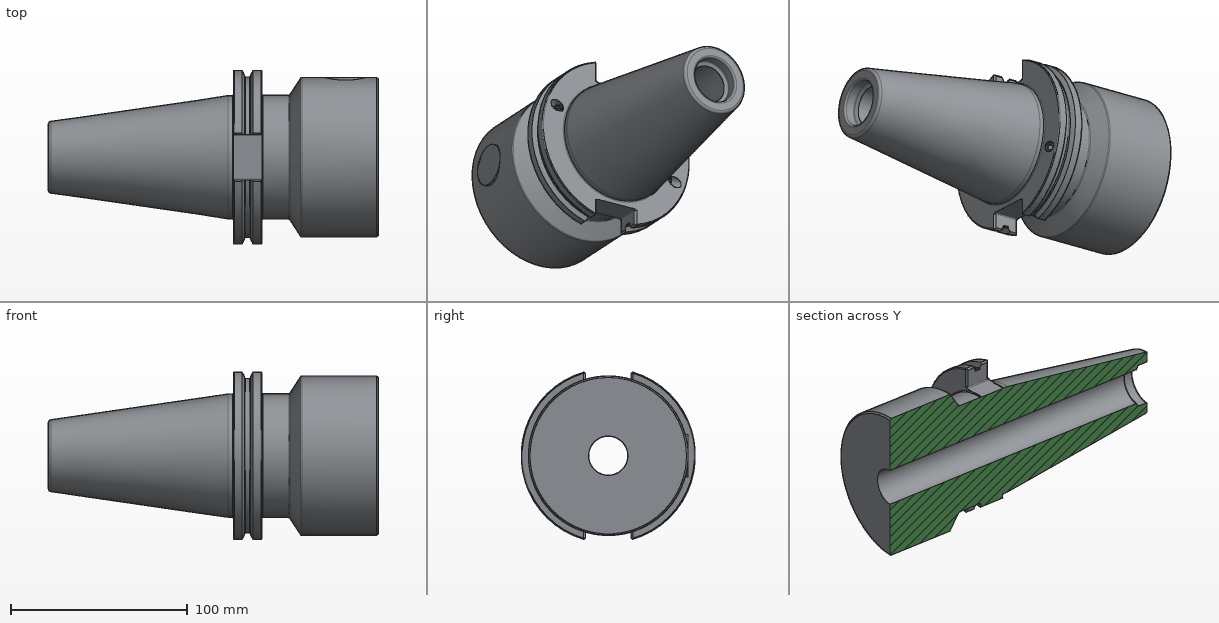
import cadquery as cq
import math

OVERALL_LENGTH = 186.6

SMALL_END_RADIUS = 20.2
GAUGE_RADIUS = 34.9
GAUGE_X = 101.5
SMALL_END_FILLET = 1.7

FLANGE_RADIUS = 49.3
FLANGE_START_X = 104.7
FLANGE_END_X = 120.7
FLANGE_RIM_FILLET = 0.5
FLANGE_ROOT_FILLET = 0.5
GROOVE_CENTRE_X = (FLANGE_START_X + FLANGE_END_X) / 2
GROOVE_MOUTH_WIDTH = 6.3
GROOVE_FLOOR_WIDTH = 3.4
GROOVE_FLOOR_RADIUS = 45.5
GROOVE_WALL_END_RADIUS = 46.5
GROOVE_FLOOR_FILLET = 0.5

SLOT_WIDTH = 25.5
SLOT_EDGE_CHAMFER = 1.1
SLOT_RIM_CHAMFER = 1.0
SLOT_FLOOR_FILLET = 0.5
UPPER_SLOT_FLOOR_Z = 34.9
LOWER_SLOT_FLOOR_Z = 37.5

NECK_RADIUS = 35.0
NECK_END_X = 136.4
HEAD_RADIUS = 45.2
HEAD_START_X = 143.0
HEAD_END_CHAMFER = 1.0
HEAD_CONE_FILLET = 0.7

BORE_RADIUS = 11.0
ENTRY_RADIUS = 13.2
ENTRY_DEPTH = 6.5
ENTRY_ROUND = 1.1
ENTRY_CONE_LENGTH = 1.3
ENTRY_CONE_FILLET = 0.5

COOLANT_HOLE_RADIUS = 3.0
COOLANT_HOLE_PITCH_RADIUS = 42.0
COOLANT_HOLE_ANGLES = [20.0, 200.0]
COOLANT_HOLE_TILT = 45.0
SET_SCREW_RECESS = 3.0
SET_SCREW_LENGTH = 5.6
SET_SCREW_CHAMFER = 0.5
SET_SCREW_HEX = 3.0
SET_SCREW_HEX_DEPTH = 2.2

SIDE_SCREW_RADIUS = 12.0
SIDE_SCREW_LENGTH = 22.4
SIDE_SCREW_X = 168.0

EDGE_SEARCH_MARGIN = 0.1
CUT_OVERRUN = 1.9


def revolve_about_x(workplane):
    return workplane.close().revolve(360, (0, 0, 0), (1, 0, 0))


def fillet_circle(body, x, radius, fillet_radius):
    """Round the circular edge of that radius lying at x."""
    reach = radius + fillet_radius / 2
    corners = (x - EDGE_SEARCH_MARGIN, -reach, -reach), (x + EDGE_SEARCH_MARGIN, reach, reach)
    edges = body.edges(cq.selectors.BoxSelector(*corners, boundingbox=True))
    return edges.edges(cq.selectors.RadiusNthSelector(-1)).fillet(fillet_radius)


def body_of_revolution():
    groove_mouth_left = GROOVE_CENTRE_X - GROOVE_MOUTH_WIDTH / 2
    groove_mouth_right = GROOVE_CENTRE_X + GROOVE_MOUTH_WIDTH / 2
    groove_floor_left = GROOVE_CENTRE_X - GROOVE_FLOOR_WIDTH / 2
    groove_floor_right = GROOVE_CENTRE_X + GROOVE_FLOOR_WIDTH / 2
    outline = (
        cq.Workplane("XZ")
        .moveTo(0, 0)
        .lineTo(0, SMALL_END_RADIUS)
        .lineTo(GAUGE_X, GAUGE_RADIUS)
        .lineTo(FLANGE_START_X, GAUGE_RADIUS)
        .lineTo(FLANGE_START_X, FLANGE_RADIUS)
        .lineTo(groove_mouth_left, FLANGE_RADIUS)
        .lineTo(groove_floor_left, GROOVE_WALL_END_RADIUS)
        .lineTo(groove_floor_left, GROOVE_FLOOR_RADIUS)
        .lineTo(groove_floor_right, GROOVE_FLOOR_RADIUS)
        .lineTo(groove_floor_right, GROOVE_WALL_END_RADIUS)
        .lineTo(groove_mouth_right, FLANGE_RADIUS)
        .lineTo(FLANGE_END_X, FLANGE_RADIUS)
        .lineTo(FLANGE_END_X, NECK_RADIUS)
        .lineTo(NECK_END_X, NECK_RADIUS)
        .lineTo(HEAD_START_X, HEAD_RADIUS)
        .lineTo(OVERALL_LENGTH - HEAD_END_CHAMFER, HEAD_RADIUS)
        .lineTo(OVERALL_LENGTH, HEAD_RADIUS - HEAD_END_CHAMFER)
        .lineTo(OVERALL_LENGTH, 0)
    )
    body = revolve_about_x(outline)
    rounded_edges = [
        (0, SMALL_END_RADIUS, SMALL_END_FILLET),
        (FLANGE_START_X, GAUGE_RADIUS, FLANGE_ROOT_FILLET),
        (FLANGE_START_X, FLANGE_RADIUS, FLANGE_RIM_FILLET),
        (groove_floor_left, GROOVE_FLOOR_RADIUS, GROOVE_FLOOR_FILLET),
        (groove_floor_right, GROOVE_FLOOR_RADIUS, GROOVE_FLOOR_FILLET),
        (FLANGE_END_X, FLANGE_RADIUS, FLANGE_RIM_FILLET),
        (FLANGE_END_X, NECK_RADIUS, FLANGE_ROOT_FILLET),
        (NECK_END_X, NECK_RADIUS, HEAD_CONE_FILLET),
        (HEAD_START_X, HEAD_RADIUS, HEAD_CONE_FILLET),
    ]
    for x, radius, fillet_radius in rounded_edges:
        body = fillet_circle(body, x, radius, fillet_radius)
    return body


def bore_cutter():
    outline = (
        cq.Workplane("XZ")
        .moveTo(0, 0)
        .lineTo(0, ENTRY_RADIUS + ENTRY_ROUND)
        .radiusArc((ENTRY_ROUND, ENTRY_RADIUS), -ENTRY_ROUND)
        .lineTo(ENTRY_DEPTH, ENTRY_RADIUS)
        .lineTo(ENTRY_DEPTH + ENTRY_CONE_LENGTH, BORE_RADIUS)
        .lineTo(OVERALL_LENGTH, BORE_RADIUS)
        .lineTo(OVERALL_LENGTH, 0)
    )
    return fillet_circle(revolve_about_x(outline), ENTRY_DEPTH, ENTRY_RADIUS, ENTRY_CONE_FILLET)


def slot_cutter(floor_z):
    """Slot opening towards +Z, with rounded floor corners and broken flange edges."""
    half_width = SLOT_WIDTH / 2
    flange_width = FLANGE_END_X - FLANGE_START_X
    top_z = FLANGE_RADIUS + CUT_OVERRUN
    channel = (
        cq.Workplane("YZ", origin=(FLANGE_START_X, 0, 0))
        .moveTo(-half_width, floor_z)
        .lineTo(half_width, floor_z)
        .lineTo(half_width, top_z)
        .lineTo(-half_width, top_z)
        .close()
        .extrude(flange_width)
        .edges("|X and <Z")
        .fillet(SLOT_FLOOR_FILLET)
    )

    wide = half_width + SLOT_EDGE_CHAMFER
    face_chamfers = (
        cq.Workplane("XY", origin=(0, 0, floor_z + SLOT_FLOOR_FILLET))
        .moveTo(FLANGE_START_X, -wide)
        .lineTo(FLANGE_START_X + SLOT_EDGE_CHAMFER, -half_width)
        .lineTo(FLANGE_END_X - SLOT_EDGE_CHAMFER, -half_width)
        .lineTo(FLANGE_END_X, -wide)
        .lineTo(FLANGE_END_X, wide)
        .lineTo(FLANGE_END_X - SLOT_EDGE_CHAMFER, half_width)
        .lineTo(FLANGE_START_X + SLOT_EDGE_CHAMFER, half_width)
        .lineTo(FLANGE_START_X, wide)
        .close()
        .extrude(top_z - floor_z - SLOT_FLOOR_FILLET)
    )

    rim_y = half_width + SLOT_RIM_CHAMFER
    rim_z = math.sqrt(FLANGE_RADIUS**2 - rim_y**2)
    flare = top_z - rim_z
    rim_chamfers = (
        cq.Workplane("YZ", origin=(FLANGE_START_X, 0, 0))
        .moveTo(-half_width, rim_z - SLOT_RIM_CHAMFER)
        .lineTo(half_width, rim_z - SLOT_RIM_CHAMFER)
        .lineTo(rim_y + flare, top_z)
        .lineTo(-rim_y - flare, top_z)
        .close()
        .extrude(flange_width)
    )
    return channel.union(face_chamfers).union(rim_chamfers)


def coolant_hole_plane(angle, depth):
    """Plane across a coolant hole at a depth along its axis, facing into the flange."""
    turn = math.radians(angle)
    tilt = math.radians(COOLANT_HOLE_TILT)
    radial = cq.Vector(0, math.cos(turn), math.sin(turn))
    mouth = cq.Vector(FLANGE_START_X, 0, 0) + radial * COOLANT_HOLE_PITCH_RADIUS
    axis = cq.Vector(math.cos(tilt), 0, 0) - radial * math.sin(tilt)
    tangent = cq.Vector(0, -math.sin(turn), math.cos(turn))
    return cq.Plane(origin=mouth + axis * depth, xDir=tangent, normal=axis)


def coolant_hole_cutter(angle):
    run_out = COOLANT_HOLE_RADIUS * math.tan(math.radians(COOLANT_HOLE_TILT)) + CUT_OVERRUN
    length = run_out + SET_SCREW_RECESS + SET_SCREW_LENGTH
    return cq.Workplane(coolant_hole_plane(angle, -run_out)).circle(COOLANT_HOLE_RADIUS).extrude(length)


def make_set_screw(angle):
    top = coolant_hole_plane(angle, SET_SCREW_RECESS)
    screw = cq.Workplane(top).circle(COOLANT_HOLE_RADIUS).extrude(SET_SCREW_LENGTH)
    outer_end = cq.selectors.DirectionMinMaxSelector(top.zDir, directionMax=False)
    screw = screw.faces(outer_end).chamfer(SET_SCREW_CHAMFER)
    hex_diameter = SET_SCREW_HEX / math.cos(math.pi / 6)
    socket = cq.Workplane(top).polygon(6, hex_diameter).extrude(SET_SCREW_HEX_DEPTH)
    return screw.cut(socket)


def make_side_screw():
    top = cq.Workplane("XZ", origin=(SIDE_SCREW_X, HEAD_RADIUS, 0))
    return top.circle(SIDE_SCREW_RADIUS).extrude(SIDE_SCREW_LENGTH)


def make_holder():
    holder = body_of_revolution().cut(bore_cutter())
    holder = holder.cut(slot_cutter(UPPER_SLOT_FLOOR_Z))
    holder = holder.cut(slot_cutter(LOWER_SLOT_FLOOR_Z).rotate((0, 0, 0), (1, 0, 0), 180))
    for angle in COOLANT_HOLE_ANGLES:
        holder = holder.cut(coolant_hole_cutter(angle))
    return holder.cut(make_side_screw())


holder = make_holder()
set_screws = [make_set_screw(angle) for angle in COOLANT_HOLE_ANGLES]
side_screw = make_side_screw()

result = cq.Compound.makeCompound(
    [holder.val(), *[screw.val() for screw in set_screws], side_screw.val()]
)